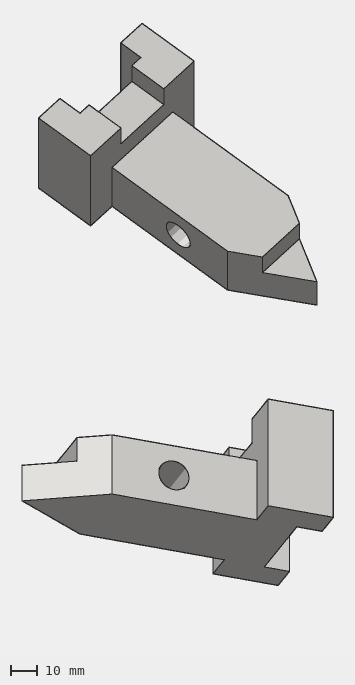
import cadquery as cq
import math

length = 113.0
head_width = 58.0
head_height = 45.0

head_length = 26.0
notch_depth = 10.1
slot_width = 24.0
slot_depth = 10.1

body_width = 34.0
body_height = 25.0
nose_half_angle = 30.0
nose_length = body_width / 2 / math.tan(math.radians(nose_half_angle))

step_x = 95.0
tip_height = 15.0

hole_diameter = 12.0
hole_x = 59.0
hole_z = body_height / 2


def block(x_start, x_end, width, z_start, z_end):
    """Box centred on Y, spanning the given X and Z ranges."""
    return cq.Workplane("XY").box(
        x_end - x_start, width, z_end - z_start, centered=(False, True, False)
    ).translate((x_start, 0, z_start))


def make_head():
    head = block(0, head_length, head_width, 0, head_height)
    notch = block(0, notch_depth, body_width, 0, head_height)
    slot = block(0, head_length, slot_width, head_height - slot_depth, head_height)
    return head.cut(notch).cut(slot)


def make_body():
    half_width = body_width / 2
    nose_start = length - nose_length
    body = (
        cq.Workplane("XY")
        .moveTo(head_length, -half_width)
        .lineTo(nose_start, -half_width)
        .lineTo(length, 0)
        .lineTo(nose_start, half_width)
        .lineTo(head_length, half_width)
        .close()
        .extrude(body_height)
    )
    step = block(step_x, length, body_width, tip_height, body_height)
    hole = (
        cq.Workplane("XZ")
        .center(hole_x, hole_z)
        .circle(hole_diameter / 2)
        .extrude(half_width, both=True)
    )
    return body.cut(step).cut(hole)


result = make_head().union(make_body())